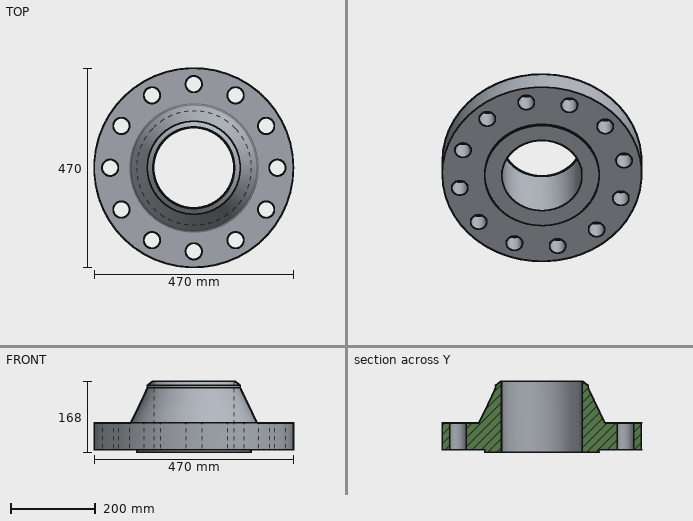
import cadquery as cq
import math


flange_diameter = 470.0
flange_thickness = 63.5
raised_face_diameter = 269.5
raised_face_height = 6.0
total_height = 168.0

hub_base_diameter = 298.5
hub_fillet_radius = 3.5
neck_diameter = 219.0
neck_length = 5.5
bore_diameter = 189.0

weld_land = 2.0
bevel_angle = 37.5

bolt_count = 12
bolt_circle_diameter = 393.5
bolt_hole_diameter = 38.0

flange_radius = flange_diameter / 2
raised_face_radius = raised_face_diameter / 2
hub_base_radius = hub_base_diameter / 2
neck_radius = neck_diameter / 2
bore_radius = bore_diameter / 2
land_radius = bore_radius + weld_land
flange_top = raised_face_height + flange_thickness
bevel_height = (neck_radius - land_radius) * math.tan(math.radians(bevel_angle))
bevel_bottom = total_height - bevel_height
neck_bottom = bevel_bottom - neck_length


def make_body():
    """Revolve the half section, bore included, about Z and round the foot of the hub."""
    half_section = [
        (bore_radius, 0),
        (raised_face_radius, 0),
        (raised_face_radius, raised_face_height),
        (flange_radius, raised_face_height),
        (flange_radius, flange_top),
        (hub_base_radius, flange_top),
        (neck_radius, neck_bottom),
        (neck_radius, bevel_bottom),
        (land_radius, total_height),
        (bore_radius, total_height),
    ]
    body = cq.Workplane("XZ").polyline(half_section).close().revolve(360, (0, 0), (0, 1))
    second_largest = cq.selectors.RadiusNthSelector(-2)
    return body.edges("%CIRCLE").edges(second_largest).fillet(hub_fillet_radius)


def make_bolt_holes():
    """Through cutters on the bolt circle, the first one on the +X axis."""
    return (
        cq.Workplane("XY")
        .polarArray(bolt_circle_diameter / 2, 0, 360, bolt_count)
        .circle(bolt_hole_diameter / 2)
        .extrude(total_height)
    )


result = make_body().cut(make_bolt_holes())